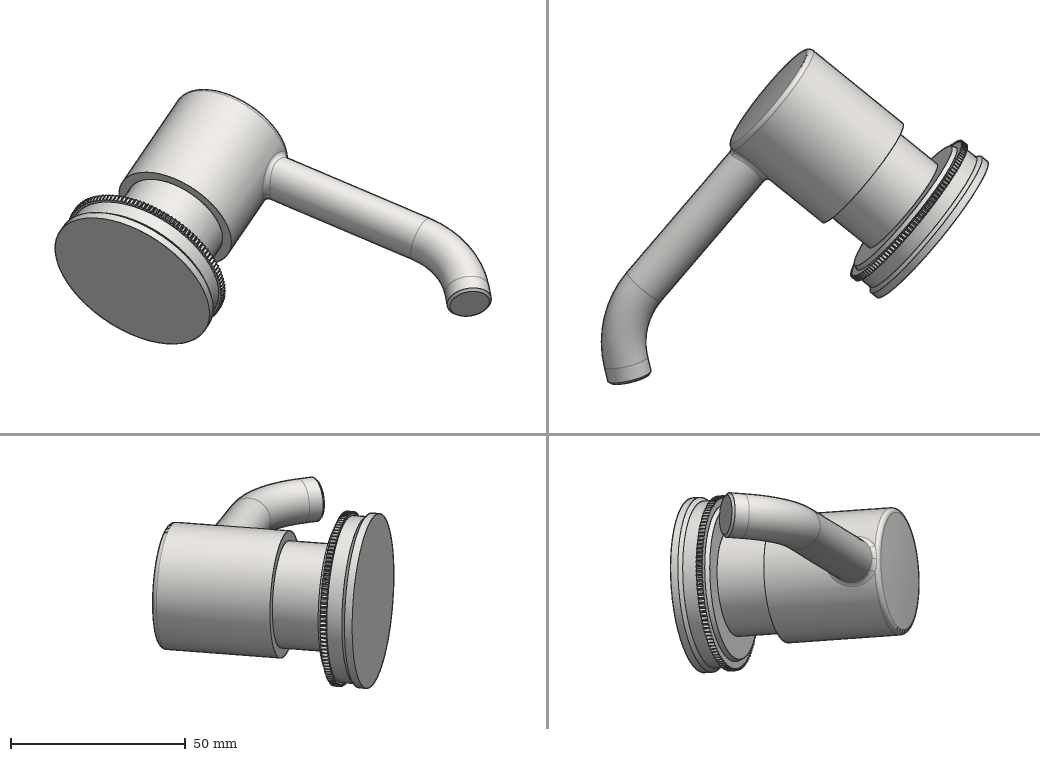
import cadquery as cq
import math


flange_radius = 25.12
flange_edge_height = 2.3
flange_height = 3.3
barrel_radius = 24.0
collar_bottom_radius = 22.6
collar_top_radius = 22.0
collar_top = 10.8

knurl_bottom = 7.7
knurl_top = 9.5
tooth_count = 120
groove_depth = 0.6
tooth_land_ratio = 0.2

stem_radius = 15.5
head_radius = 18.3
head_bottom = 25.9
head_rim_height = 59.4
rim_round = 1.4
dome_height = 0.6

spout_radius = 6.4
spout_height = 52.6
spout_straight_end = 65.6
bend_radius = 25.5
bend_angle = 53.0
tip_length = 5.0
tip_chamfer = 0.7
root_fillet = 1.5


def turned_body():
    """Base flange, barrel, collar, stem and domed head as one turned shape."""
    rim_top = head_rim_height + rim_round
    dome_edge_radius = head_radius - rim_round
    dome_top = rim_top + dome_height
    dome_radius = (dome_edge_radius**2 + dome_height**2) / (2 * dome_height)
    half_chord = dome_edge_radius / 2
    dome_mid_height = dome_top - dome_radius + math.sqrt(dome_radius**2 - half_chord**2)
    round_inset = rim_round * (1 - math.sqrt(0.5))

    return (
        cq.Workplane("XY")
        .lineTo(flange_radius, 0)
        .lineTo(flange_radius, flange_edge_height)
        .lineTo(barrel_radius, flange_height)
        .lineTo(barrel_radius, knurl_top)
        .lineTo(collar_bottom_radius, knurl_top)
        .lineTo(collar_top_radius, collar_top)
        .lineTo(stem_radius, collar_top)
        .lineTo(stem_radius, head_bottom)
        .lineTo(head_radius, head_bottom)
        .lineTo(head_radius, head_rim_height)
        .threePointArc((head_radius - round_inset, rim_top - round_inset), (dome_edge_radius, rim_top))
        .threePointArc((half_chord, dome_mid_height), (0, dome_top))
        .close()
        .revolve(360, (0, 0, 0), (0, 1, 0))
    )


def knurled_ring():
    """Toothed ring around the barrel, with V grooves between flat-topped teeth parallel to the axis."""
    pitch_angle = 2 * math.pi / tooth_count
    half_crest = pitch_angle * tooth_land_ratio / 2
    root_radius = flange_radius - groove_depth

    def point(radius, angle):
        return (radius * math.cos(angle), radius * math.sin(angle))

    outline = []
    for tooth in range(tooth_count):
        center = tooth * pitch_angle
        outline.append(point(flange_radius, center - half_crest))
        outline.append(point(flange_radius, center + half_crest))
        outline.append(point(root_radius, center + pitch_angle / 2))

    return (
        cq.Workplane("XZ", origin=(0, knurl_bottom, 0))
        .polyline(outline)
        .close()
        .extrude(knurl_bottom - knurl_top)
    )


def spout():
    """Round spout along +X that bends toward the base and ends in a chamfered tip."""
    turn = math.radians(bend_angle)

    def bend_point(angle):
        return (
            spout_straight_end + bend_radius * math.sin(angle),
            spout_height - bend_radius * (1 - math.cos(angle)),
        )

    bend_end_x, bend_end_y = bend_point(turn)
    tip_x = bend_end_x + tip_length * math.cos(turn)
    tip_y = bend_end_y - tip_length * math.sin(turn)
    path = (
        cq.Workplane("XY")
        .moveTo(0, spout_height)
        .lineTo(spout_straight_end, spout_height)
        .threePointArc(bend_point(turn / 2), (bend_end_x, bend_end_y))
        .lineTo(tip_x, tip_y)
    )
    tube = cq.Workplane("YZ", origin=(0, spout_height, 0)).circle(spout_radius).sweep(path)
    return tube.faces(">X").edges().chamfer(tip_chamfer)


def fillet_spout_root(part):
    """Round the joint where the spout meets the side of the head."""
    joint_box = cq.selectors.BoxSelector(
        (head_radius - spout_radius, spout_height - 1.1 * spout_radius, -1.1 * spout_radius),
        (head_radius + root_fillet, spout_height + 1.1 * spout_radius, 1.1 * spout_radius),
        boundingbox=True,
    )
    return part.edges(joint_box).fillet(root_fillet)


body = fillet_spout_root(turned_body().union(spout()))
result = body.union(knurled_ring())